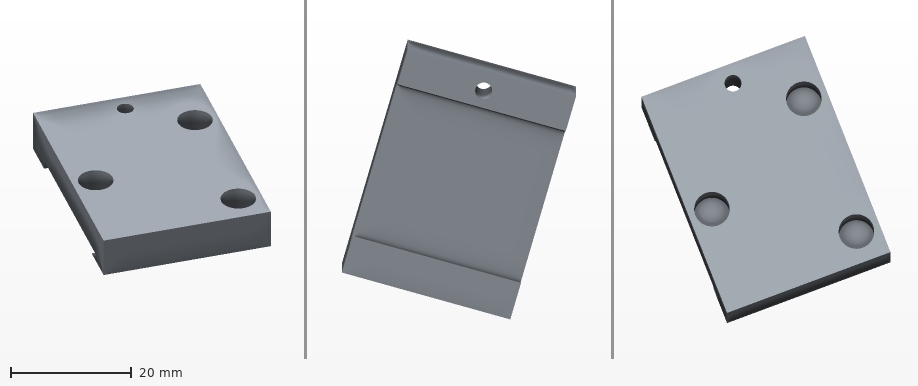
import cadquery as cq

length = 39.58
width = 29.0
height = 7.2

channel_roof = 1.62
left_foot_width = 6.15
left_wall_run = 0.5
right_foot_base = 0.3
right_foot_width = 6.45
lip_edge_height = 0.2
undercut_depth = 1.98
undercut_top = 1.23

pocket_diameter = 5.9
pocket_depth = 3.95
pocket_center_x = 2.35
pocket_half_spacing = 12.15
pocket_back_y = 10.5
pocket_front_y = -10.5

pin_hole_diameter = 2.8
pin_hole_x = -16.5
pin_hole_y = 0.47


def make_body():
    """Extrude the rail-clip profile along the width."""
    left = -length / 2
    right = length / 2
    lip_x = right - right_foot_width
    undercut_x = lip_x + undercut_depth
    foot_x = left + left_foot_width
    return (
        cq.Workplane("XZ")
        .moveTo(left, 0)
        .lineTo(foot_x, 0)
        .lineTo(foot_x + left_wall_run, channel_roof)
        .lineTo(undercut_x, channel_roof)
        .lineTo(undercut_x, undercut_top)
        .lineTo(lip_x, right_foot_base + lip_edge_height)
        .lineTo(lip_x, right_foot_base)
        .lineTo(right, right_foot_base)
        .lineTo(right, height)
        .lineTo(left, height)
        .close()
        .extrude(width / 2, both=True)
    )


def make_hole(x, y, diameter, depth):
    """Cylinder reaching down from the top face."""
    return (
        cq.Workplane("XY", origin=(x, y, height))
        .circle(diameter / 2)
        .extrude(-depth)
    )


pocket_places = [
    (pocket_center_x - pocket_half_spacing, pocket_back_y),
    (pocket_center_x + pocket_half_spacing, pocket_back_y),
    (pocket_center_x, pocket_front_y),
]

result = make_body()
for x, y in pocket_places:
    result = result.cut(make_hole(x, y, pocket_diameter, pocket_depth))
result = result.cut(make_hole(pin_hole_x, pin_hole_y, pin_hole_diameter, height))